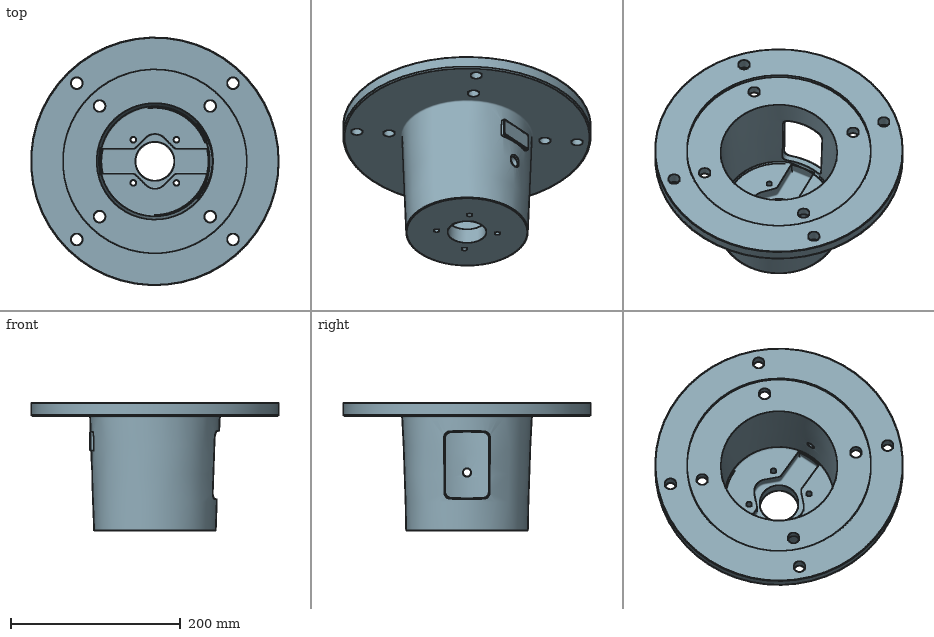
import cadquery as cq
import math

FLANGE_R = 146.0
HEIGHT = 150.7
DRAFT = 2.0

FLANGE_T = 15.8
FLANGE_Z = HEIGHT - FLANGE_T
FLANGE_CHAMFER = 1.8
TOP_CHAMFER = 0.5
RECESS_R = 108.5
RECESS_DEPTH = 4.0
RECESS_Z = HEIGHT - RECESS_DEPTH
BOLT_R = 6.7
OUTER_BOLT_OFFSET = 92.0
INNER_BOLT_OFFSET = 65.0

BARREL_TOP_R = 76.5
BARREL_FILLET = 1.8
BARREL_CHAMFER = 1.0
BORE_TOP_R = 68.5
FLOOR_Z = 34.0
FLOOR_FILLET = 1.8

SHAFT_R = 22.8
PUMP_BOLT_R = 3.2
PUMP_BOLT_OFFSET = 25.5
POCKET_DEPTH = 14.5
POCKET_FILLET = 1.8
POCKET_JUNCTION_R = 5.8
SLOT_HALF_LENGTH = 63.5
SLOT_HALF_WIDTH = 14.5
DIAMOND_TIP = 38.5
DIAMOND_TIP_R = 15.2

WINDOW_HALF_WIDTH = 28.3
WINDOW_BOTTOM_Z = 36.5
WINDOW_TOP_Z = 118.0
WINDOW_CORNER_R = 8.8
WINDOW_DRAFT = 10.0
WINDOW_DEPTH = 23.5

PLATE_WIDTH = 45.0
PLATE_HEIGHT = 22.5
PLATE_Z = 105.5
PLATE_FACE_X = 76.5
PLATE_CORNER_R = 3.0
PLATE_CHAMFER = 1.2
SIDE_HOLE_Z = 68.5
SIDE_HOLE_R = 4.7
SIDE_HOLE_OUTER_R = 6.0
SIDE_HOLE_MOUTH_R = 8.0

OVERCUT = 3.0
TAPER = math.tan(math.radians(DRAFT))


def barrel_radius(z):
    return BARREL_TOP_R - (FLANGE_Z - z) * TAPER


def bore_radius(z):
    return BORE_TOP_R - (RECESS_Z - z) * TAPER


def frustum(z_low, r_low, z_high, r_high):
    profile = [(0, z_low), (r_low, z_low), (r_high, z_high), (0, z_high)]
    return cq.Workplane("XZ").polyline(profile).close().revolve(360, (0, 0), (0, 1))


def square_holes(offset, radius):
    """Vertical cutters through the whole height at (+-offset, +-offset)."""
    corners = [(sx * offset, sy * offset) for sx in (-1, 1) for sy in (-1, 1)]
    return cq.Workplane("XY").pushPoints(corners).circle(radius).extrude(HEIGHT)


def body():
    barrel = frustum(0, barrel_radius(0), FLANGE_Z, BARREL_TOP_R).faces("<Z").chamfer(BARREL_CHAMFER)
    flange = (
        cq.Workplane("XY")
        .workplane(offset=FLANGE_Z)
        .circle(FLANGE_R)
        .extrude(FLANGE_T)
        .faces("<Z").chamfer(FLANGE_CHAMFER)
        .faces(">Z").chamfer(TOP_CHAMFER)
    )
    reach = BARREL_TOP_R + OVERCUT
    root = cq.selectors.BoxSelector(
        (-reach, -reach, FLANGE_Z - BARREL_FILLET),
        (reach, reach, FLANGE_Z + BARREL_FILLET),
        boundingbox=True,
    )
    return flange.union(barrel).edges(root).fillet(BARREL_FILLET)


def recess():
    return cq.Workplane("XY").workplane(offset=RECESS_Z).circle(RECESS_R).extrude(RECESS_DEPTH)


def bore():
    cavity = frustum(FLOOR_Z, bore_radius(FLOOR_Z), RECESS_Z, BORE_TOP_R)
    return cavity.faces("<Z").edges().fillet(FLOOR_FILLET)


def floor_pocket():
    """Straight slot with a round-tipped 45 degree diamond around the shaft hole."""
    bottom = cq.Workplane("XY").workplane(offset=FLOOR_Z - POCKET_DEPTH)
    slot = bottom.rect(2 * SLOT_HALF_LENGTH, 2 * SLOT_HALF_WIDTH).extrude(POCKET_DEPTH)
    tips = [(DIAMOND_TIP, 0), (0, DIAMOND_TIP), (-DIAMOND_TIP, 0), (0, -DIAMOND_TIP)]
    diamond = bottom.polyline(tips).close().extrude(POCKET_DEPTH).edges("|Z").fillet(DIAMOND_TIP_R)
    junction_x = DIAMOND_TIP - SLOT_HALF_WIDTH
    junctions = cq.selectors.BoxSelector(
        (-junction_x - OVERCUT, -SLOT_HALF_WIDTH - OVERCUT, 0),
        (junction_x + OVERCUT, SLOT_HALF_WIDTH + OVERCUT, FLOOR_Z),
    )
    pocket = slot.union(diamond).edges("|Z").edges(junctions).fillet(POCKET_JUNCTION_R)
    return pocket.faces("<Z").edges().fillet(POCKET_FILLET)


def window():
    height = WINDOW_TOP_Z - WINDOW_BOTTOM_Z
    outline = cq.Sketch().rect(2 * WINDOW_HALF_WIDTH, height).vertices().fillet(WINDOW_CORNER_R)
    return (
        cq.Workplane("YZ")
        .workplane(offset=BARREL_TOP_R)
        .center(0, WINDOW_BOTTOM_Z + height / 2)
        .placeSketch(outline)
        .extrude(-WINDOW_DEPTH, taper=WINDOW_DRAFT)
    )


def name_plate():
    return (
        cq.Workplane("YZ")
        .workplane(offset=-PLATE_FACE_X)
        .center(0, PLATE_Z)
        .rect(PLATE_WIDTH, PLATE_HEIGHT)
        .extrude(PLATE_FACE_X - bore_radius(PLATE_Z))
        .edges("|X").fillet(PLATE_CORNER_R)
        .faces("<X").chamfer(PLATE_CHAMFER)
    )


def side_hole():
    """Tapered radial hole with a 45 degree countersink where it meets the barrel."""
    mouth_x = barrel_radius(SIDE_HOLE_Z)
    sink_x = mouth_x - (SIDE_HOLE_MOUTH_R - SIDE_HOLE_OUTER_R)
    inner_x = bore_radius(SIDE_HOLE_Z)
    profile = [
        (0, 0),
        (0, SIDE_HOLE_R),
        (-inner_x, SIDE_HOLE_R),
        (-sink_x, SIDE_HOLE_OUTER_R),
        (-mouth_x, SIDE_HOLE_MOUTH_R),
        (-mouth_x - OVERCUT, SIDE_HOLE_MOUTH_R),
        (-mouth_x - OVERCUT, 0),
    ]
    cutter = cq.Workplane("XZ").polyline(profile).close().revolve(360, (0, 0), (1, 0))
    return cutter.translate((0, 0, SIDE_HOLE_Z))


part = body().union(name_plate())
part = part.cut(recess()).cut(bore()).cut(floor_pocket())
part = part.cut(cq.Workplane("XY").circle(SHAFT_R).extrude(HEIGHT))
part = part.cut(square_holes(OUTER_BOLT_OFFSET, BOLT_R))
part = part.cut(square_holes(INNER_BOLT_OFFSET, BOLT_R))
part = part.cut(square_holes(PUMP_BOLT_OFFSET, PUMP_BOLT_R))
result = part.cut(window()).cut(side_hole())